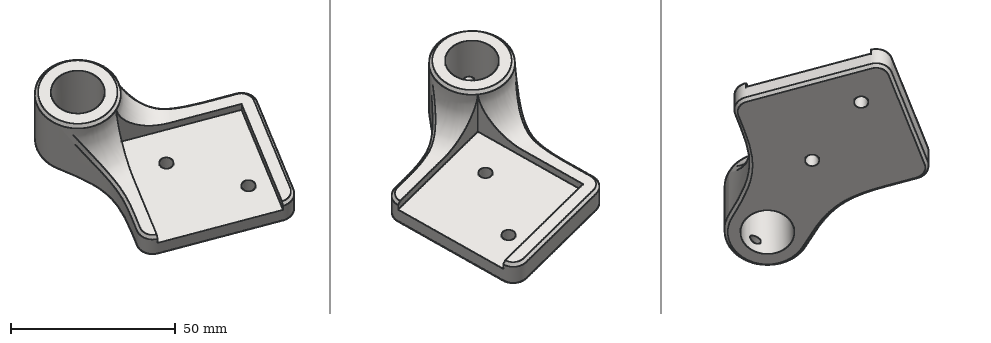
import cadquery as cq
import math

height = 24.2
boss_radius = 13.05
bore_diameter = 16.3
chamfer = 1.0

plate_thickness = 9.4
pocket_size = 40.0
pocket_depth = 3.0
rim_width = 5.0
corner_radius = 5.0
diagonal = math.sqrt(0.5)
pocket_corner = boss_radius * diagonal
plate_near = pocket_corner - rim_width
plate_right = pocket_corner + pocket_size
plate_back = plate_right + rim_width

flank_end = 39.05
flank_handle = 14.8

mount_diameter = 4.3
mount_offsets = [(12.0, 12.0), (28.0, 32.9)]

screw_height = 6.2
screw_diameter = 3.6
screw_sink_diameter = 5.5


def make_outline():
    """Rounded plate and its flanks, closed by two straight lines at the boss axis."""
    tangent_point = boss_radius * diagonal
    handle = flank_handle * diagonal
    left_flank = [
        (-tangent_point, tangent_point),
        (-tangent_point + handle, tangent_point + handle),
        (plate_near, flank_end - flank_handle),
        (plate_near, flank_end),
    ]
    front_flank = [(y, x) for x, y in reversed(left_flank)]
    return (
        cq.Workplane("XY")
        .moveTo(*left_flank[0])
        .bezier(left_flank)
        .lineTo(plate_near, plate_back - corner_radius)
        .radiusArc((plate_near + corner_radius, plate_back), corner_radius)
        .lineTo(plate_right - corner_radius, plate_back)
        .radiusArc((plate_right, plate_back - corner_radius), corner_radius)
        .lineTo(plate_right, plate_near + corner_radius)
        .radiusArc((plate_right - corner_radius, plate_near), corner_radius)
        .lineTo(*front_flank[0])
        .bezier(front_flank)
        .lineTo(0, 0)
        .close()
    )


def make_fillet_cutter():
    """Ring that clears the space above the plate and leaves a round fillet at the boss."""
    fillet_radius = height - plate_thickness
    fillet_end = boss_radius + fillet_radius
    middle = fillet_radius * (1 - diagonal)
    outer_radius = 2 * plate_back
    return (
        cq.Workplane("XZ")
        .moveTo(boss_radius, height)
        .threePointArc((boss_radius + middle, plate_thickness + middle), (fillet_end, plate_thickness))
        .lineTo(outer_radius, plate_thickness)
        .lineTo(outer_radius, height)
        .close()
        .revolve(360, (0, 0, 0), (0, 1, 0))
        .rotate((0, 0, 0), (0, 0, 1), -135)
    )


def make_screw_cutter():
    """Countersunk hole from the bore out through the boss wall."""
    sink_depth = (screw_sink_diameter - screw_diameter) / 2
    overshoot = 1.35
    rim_radius = screw_sink_diameter / 2
    return (
        cq.Workplane("XZ")
        .lineTo(screw_diameter / 2, 0)
        .lineTo(screw_diameter / 2, boss_radius - sink_depth)
        .lineTo(rim_radius, boss_radius)
        .lineTo(rim_radius + overshoot, boss_radius + overshoot)
        .lineTo(0, boss_radius + overshoot)
        .close()
        .revolve(360, (0, 0, 0), (0, 1, 0))
        .rotate((0, 0, 0), (0, 1, 0), -90)
        .rotate((0, 0, 0), (0, 0, 1), 45)
        .translate((0, 0, screw_height))
    )


def make_web():
    """Plate and flanks under the fillet, chamfered along the whole upper outline."""
    web = make_outline().extrude(height - chamfer).cut(make_fillet_cutter())
    return web.faces(">Y").edges(">Z").chamfer(chamfer)


boss = cq.Workplane("XY").circle(boss_radius).extrude(height).faces(">Z").chamfer(chamfer)
body = make_web().union(boss).faces("<Z").chamfer(chamfer)

pocket = (
    cq.Workplane("XY", origin=(pocket_corner, pocket_corner, plate_thickness - pocket_depth))
    .rect(pocket_size, pocket_size, centered=False)
    .extrude(height)
)
bore = cq.Workplane("XY").circle(bore_diameter / 2).extrude(height)
mount_holes = (
    cq.Workplane("XY", origin=(pocket_corner, pocket_corner, 0))
    .pushPoints(mount_offsets)
    .circle(mount_diameter / 2)
    .extrude(plate_thickness)
)

result = body.cut(pocket).cut(bore).cut(mount_holes).cut(make_screw_cutter())